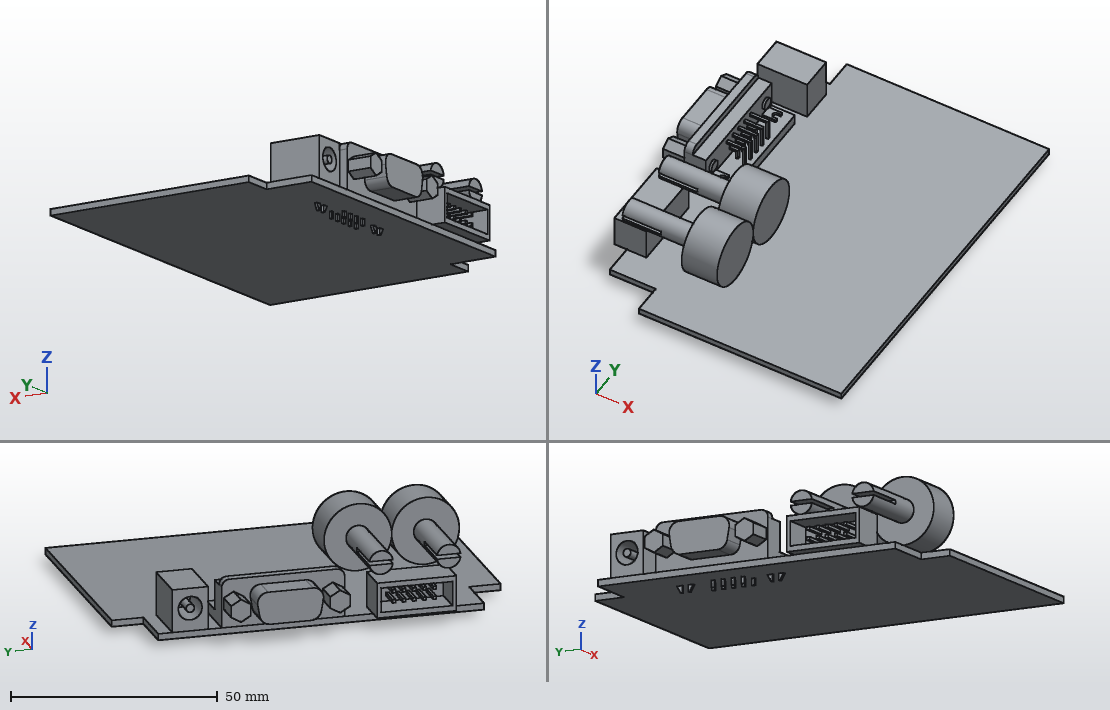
import cadquery as cq
import math


board_length = 98.0
board_right = 70.0
board_thickness = 1.7
tongue_width = 82.1
tongue_depth = 12.9

jack_depth = 14.0
jack_width = 9.0
jack_height = 10.9
jack_y = 33.0
jack_axis_z = 5.8
jack_bore = 6.0
jack_bore_depth = 9.8
jack_pin = 2.1

dsub_y = 9.6
dsub_width = 31.0
dsub_height = 12.25
dsub_axis_z = dsub_height / 2
dsub_reach = 6.4
flange_thickness = 2.4
flange_radius = 2.0
dsub_body_depth = 6.1
dsub_body_height = dsub_height - flange_radius
dsub_base_depth = 12.6
dsub_base_height = 2.7

shell_height = 8.2
shell_half_width = 8.8
shell_side_angle = 10.0
shell_radius = 2.6

post_spacing = 25.0
post_flats = 5.0

contact_pitch = 1.4
contact_count = 9
contact_width = 0.8
contact_thickness = 0.6
long_contact_end = 11.3
long_contact_top = 8.5
short_contact_end = 8.5
short_contact_top = 5.5
lead_bottom = -3.3

lock_width = 3.0
lock_end = 9.9
lock_thickness = 0.7
lock_slot_width = 1.7
lock_slot_start = 8.1
barb_half_width = 2.3
barb_tip_half_width = 1.3
rivet_diameter = 3.0
rivet_length = 0.7

header_y = -23.0
header_front = -3.5
header_depth = 9.0
header_width = 20.0
header_height = 8.9
cavity_width = 18.0
cavity_height = 6.2
cavity_floor = 1.4
cavity_depth = 7.8
header_pin = 0.8
header_pin_length = 5.9
header_pitch = 2.5
header_columns = 5
header_rows = 2

pot_diameter = 17.1
pot_front = 20.0
pot_length = 10.0
pot_axis_z = 12.8
pot_mid_y = -23.6
shaft_diameter = 6.0
shaft_slot_depth = 10.9
shaft_slot_width = 1.0


def block(x0, x1, y0, y1, z0, z1):
    """Rectangular block between two opposite corners."""
    return cq.Workplane("XY").box(x1 - x0, y1 - y0, z1 - z0, centered=False).translate((x0, y0, z0))


def centred_block(x0, x1, y, width, z0, z1):
    """Rectangular block centred on y."""
    return block(x0, x1, y - width / 2, y + width / 2, z0, z1)


def facing_x(x, y, z):
    """Sketch plane at the given point: local x along +Y, local y along +Z, extruding towards +X."""
    return cq.Workplane("YZ", origin=(x, y, z))


contact_offsets = [(i - (contact_count - 1) / 2) * contact_pitch for i in range(contact_count)]
post_ys = [dsub_y - post_spacing / 2, dsub_y + post_spacing / 2]


def contact_end(index):
    """X of the far end of a contact: even ones are the long upper row, odd ones the short lower row."""
    return long_contact_end if index % 2 == 0 else short_contact_end


def contact_top(index):
    """Height of the upper face of a contact where it leaves the housing."""
    return long_contact_top if index % 2 == 0 else short_contact_top


def contact_leads(z0, z1):
    """Vertical legs of all the contacts."""
    leads = cq.Workplane("XY")
    for i, offset in enumerate(contact_offsets):
        end = contact_end(i)
        leads = leads.add(
            centred_block(end - contact_thickness, end, dsub_y + offset, contact_width, z0, z1)
        )
    return leads.combine()


def lock_legs(z0, z1):
    """Straight parts of the two legs of each board lock."""
    legs = cq.Workplane("XY")
    leg_width = (lock_width - lock_slot_width) / 2
    leg_offset = (lock_width + lock_slot_width) / 4
    for y in post_ys:
        for side in (-1, 1):
            legs = legs.add(
                centred_block(lock_end - lock_thickness, lock_end, y + side * leg_offset, leg_width, z0, z1)
            )
    return legs.combine()


def make_board():
    """Stepped board with holes for the D-sub leads."""
    board = block(tongue_depth, board_right, -board_length / 2, board_length / 2, -board_thickness, 0)
    tongue = centred_block(0, tongue_depth, 0, tongue_width, -board_thickness, 0)
    board = board.union(tongue)
    board = board.cut(contact_leads(-board_thickness, 0))
    return board.cut(lock_legs(-board_thickness, 0))


def make_jack():
    """Block with a round socket around a centre pin."""
    body = centred_block(0, jack_depth, jack_y, jack_width, 0, jack_height)
    socket = (
        facing_x(0, jack_y, jack_axis_z)
        .circle(jack_bore / 2)
        .circle(jack_pin / 2)
        .extrude(jack_bore_depth)
    )
    return body.cut(socket)


def dsub_housing():
    """Rounded flange, body behind it and the base on the board."""
    flange = centred_block(0, flange_thickness, dsub_y, dsub_width, 0, dsub_height)
    flange = flange.edges("|X and >Z").fillet(flange_radius)
    body = centred_block(flange_thickness, dsub_body_depth, dsub_y, dsub_width, 0, dsub_body_height)
    base = centred_block(dsub_body_depth, dsub_base_depth, dsub_y, dsub_width, 0, dsub_base_height)
    return flange.union(body).union(base)


def dsub_shell():
    """D-shaped shell with rounded corners."""
    bottom_half_width = shell_half_width - shell_height * math.tan(math.radians(shell_side_angle))
    half_height = shell_height / 2
    return (
        facing_x(-dsub_reach, dsub_y, dsub_axis_z)
        .polyline([
            (-shell_half_width, half_height),
            (shell_half_width, half_height),
            (bottom_half_width, -half_height),
            (-bottom_half_width, -half_height),
        ])
        .close()
        .extrude(dsub_reach)
        .edges("|X")
        .fillet(shell_radius)
    )


def hex_post(y):
    """Hexagonal post with a corner pointing up."""
    across_corners = post_flats / math.cos(math.radians(30))
    post = facing_x(-dsub_reach, 0, 0).polygon(6, across_corners).extrude(dsub_reach)
    return post.rotate((0, 0, 0), (1, 0, 0), 90).translate((0, y, dsub_axis_z))


def board_lock(y):
    """Rivet and forked plate, with a barb under the board below each leg."""
    rivet = facing_x(dsub_body_depth, y, dsub_axis_z).circle(rivet_diameter / 2).extrude(rivet_length)
    plate_top = dsub_base_height + lock_thickness
    plate = centred_block(dsub_body_depth, lock_end, y, lock_width, dsub_base_height, plate_top)
    slot_radius = lock_slot_width / 2
    slot_centre = lock_slot_start + slot_radius
    slot = centred_block(slot_centre, lock_end, y, lock_slot_width, dsub_base_height, plate_top)
    slot_end = (
        cq.Workplane("XY", origin=(slot_centre, y, dsub_base_height))
        .circle(slot_radius)
        .extrude(lock_thickness)
    )
    lock = rivet.union(plate.cut(slot).cut(slot_end))
    for side in (-1, 1):
        barb = (
            facing_x(lock_end - lock_thickness, y, 0)
            .polyline([
                (side * slot_radius, -board_thickness),
                (side * barb_half_width, -board_thickness),
                (side * barb_tip_half_width, lead_bottom),
                (side * slot_radius, lead_bottom),
            ])
            .close()
            .extrude(lock_thickness)
        )
        lock = lock.add(barb)
    return lock.combine()


def make_dsub():
    """Housing with shell, hex posts, board locks and bent contacts."""
    dsub = dsub_housing().union(dsub_shell())
    dsub = dsub.union(lock_legs(-board_thickness, dsub_base_height))
    for y in post_ys:
        dsub = dsub.union(hex_post(y)).union(board_lock(y))
    for i, offset in enumerate(contact_offsets):
        y = dsub_y + offset
        end = contact_end(i)
        top = contact_top(i)
        arm = centred_block(dsub_body_depth, end, y, contact_width, top - contact_thickness, top)
        leg = centred_block(end - contact_thickness, end, y, contact_width, lead_bottom, top)
        dsub = dsub.union(arm).union(leg)
    return dsub


def make_header():
    """Open-fronted box with two rows of square pins inside."""
    body = centred_block(
        header_front, header_front + header_depth, header_y, header_width, 0, header_height
    )
    cavity_back = header_front + cavity_depth
    cavity = centred_block(
        header_front, cavity_back, header_y, cavity_width, cavity_floor, cavity_floor + cavity_height
    )
    pins = (
        facing_x(cavity_back - header_pin_length, header_y, cavity_floor + cavity_height / 2)
        .rarray(header_pitch, header_pitch, header_columns, header_rows)
        .rect(header_pin, header_pin)
        .extrude(header_pin_length)
    )
    return body.cut(cavity).union(pins)


def make_pot(y):
    """Round body with a slotted shaft that ends level with the board edge."""
    body = facing_x(pot_front, y, pot_axis_z).circle(pot_diameter / 2).extrude(pot_length)
    shaft = facing_x(0, y, pot_axis_z).circle(shaft_diameter / 2).extrude(pot_front)
    slot = centred_block(
        0, shaft_slot_depth, y, shaft_diameter,
        pot_axis_z - shaft_slot_width / 2, pot_axis_z + shaft_slot_width / 2,
    )
    return body.union(shaft.cut(slot))


board = make_board()
jack = make_jack()
dsub = make_dsub()
header = make_header()
pots = [make_pot(pot_mid_y + side * pot_diameter / 2) for side in (-1, 1)]

result = cq.Compound.makeCompound(
    [board.val(), jack.val(), dsub.val(), header.val(), *[pot.val() for pot in pots]]
)